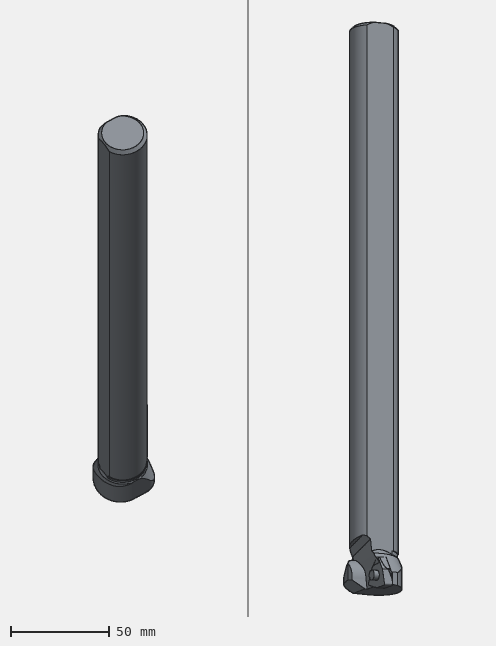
import cadquery as cq
import math

total_length = 301.2
shank_radius = 12.5
side_flat_offset = 10.2
front_flat_offset = 11.5
end_chamfer = 1.8
shank_bottom = 20.8

neck_radius = 12.0
neck_top_radius = 10.2
head_top = 18.0
cone_top_radius = 12.7
cone_slope = 0.4
head_half_depth = 13.5
head_right = shank_radius
bottom_angle = 5.0
bottom_clearance = 1.0
back_relief_slope = 0.5

tip_x = -17.32
insert_circle_radius = 6.3
insert_thickness = 4.8
nose_radius = 0.8
corner_count = 3
corner_half_angle = 40.0
first_corner_angle = 225.0
radial_rake = 11.0
axial_rake = 6.0
pin_diameter = 5.0
pin_protrusion = 3.0

gully_step = 1.05
gully_step_start = 12.7
gully_step_end = 17.0
gully_bottom = -6.0
gully_runout = 3.0
tool_reach = 60.2

nose_distance = (insert_circle_radius - nose_radius) / math.sin(math.radians(corner_half_angle))
insert_height = nose_distance * math.sin(math.radians(45)) + nose_radius
insert_x = tip_x + insert_height


def tilt(shape):
    """Turn a shape from the upright frame, with the insert face on Y = 0, to the insert's rake."""
    tip = (tip_x, 0, 0)
    shape = shape.rotate(tip, (tip_x + 3, 0, 0), -axial_rake)
    return shape.rotate(tip, (tip_x, 0, 1), radial_rake)


def make_shank():
    shank = cq.Workplane("XY").workplane(offset=shank_bottom).circle(shank_radius)
    shank = shank.extrude(total_length - shank_bottom).faces(">Z").chamfer(end_chamfer)
    neck = cq.Workplane("XY").workplane(offset=head_top).circle(neck_radius)
    shank = shank.union(neck.extrude(shank_bottom - head_top))
    flats = cq.Workplane("XY").box(tool_reach, tool_reach, total_length, centered=False)
    return shank.intersect(flats.translate((-side_flat_offset, -front_flat_offset, 0)))


def make_head():
    """Head outline trimmed by a cone that widens downwards and by a sloping end face."""
    outline = (
        cq.Workplane("XY")
        .moveTo(-16.0, 2.0)
        .lineTo(-16.3, -4.5)
        .lineTo(-14.8, -7.8)
        .threePointArc((-10.0, -11.5), (-1.2, -head_half_depth))
        .threePointArc((4.0, -12.8), (8.0, -10.5))
        .threePointArc((11.0, -7.0), (head_right, -2.5))
        .lineTo(head_right, 7.5)
        .threePointArc((11.5, 11.5), (8.5, head_half_depth))
        .lineTo(1.5, head_half_depth)
        .lineTo(-10.2, 8.5)
        .close()
        .extrude(shank_bottom)
    )
    cone = (
        cq.Workplane("XZ")
        .lineTo(cone_top_radius + cone_slope * head_top, 0)
        .lineTo(cone_top_radius, head_top)
        .lineTo(neck_top_radius, shank_bottom)
        .lineTo(0, shank_bottom)
        .close()
        .revolve(360, (0, 0), (0, 1))
    )
    rise = tool_reach * math.tan(math.radians(bottom_angle))
    below_end_face = (
        cq.Workplane("XZ")
        .polyline([
            (tip_x, -tool_reach),
            (tip_x, bottom_clearance),
            (tip_x + tool_reach, bottom_clearance + rise),
            (tip_x + tool_reach, -tool_reach),
        ])
        .close()
        .extrude(tool_reach, both=True)
    )
    back_relief = (
        cq.Workplane("YZ")
        .polyline([(0, 0), (tool_reach, 0), (tool_reach, back_relief_slope * tool_reach)])
        .close()
        .extrude(tool_reach, both=True)
    )
    return outline.intersect(cone).cut(below_end_face).cut(back_relief)


def make_insert_blank():
    """Three-cornered insert whose sides each bend slightly outwards at the middle."""
    half_pitch = 180 / corner_count
    corner_distance = insert_circle_radius / math.sin(math.radians(corner_half_angle))
    bend_distance = insert_circle_radius / math.sin(math.radians(180 - half_pitch - corner_half_angle))
    points = []
    for corner in range(corner_count):
        corner_angle = math.radians(first_corner_angle + 2 * half_pitch * corner)
        bend_angle = corner_angle + math.radians(half_pitch)
        for distance, angle in ((corner_distance, corner_angle), (bend_distance, bend_angle)):
            points.append((distance * math.cos(angle), distance * math.sin(angle)))
    blank = cq.Workplane("XZ").polyline(points).close().extrude(insert_thickness)
    sharp_distance = (corner_distance + bend_distance) / 2
    sharp_edges = blank.edges("|Y").filter(
        lambda edge: math.hypot(edge.Center().x, edge.Center().z) > sharp_distance
    )
    blank = blank.newObject(sharp_edges.vals()).fillet(nose_radius)
    return tilt(blank.translate((insert_x, 0, insert_height)))


def make_pin():
    """Clamping pin of the bar, through the insert and standing proud of its face."""
    pin = cq.Workplane("XZ").circle(pin_diameter / 2).extrude(insert_thickness + pin_protrusion)
    return tilt(pin.translate((insert_x, pin_protrusion, insert_height)))


def make_chip_gully():
    """Space over the insert that steps up towards the shank and runs out across its back."""
    boundary = (
        cq.Workplane("XZ")
        .moveTo(-36, gully_bottom)
        .lineTo(-36, 35.2)
        .lineTo(19.5, 23.0)
        .lineTo(19.5, 20.0)
        .lineTo(9, 20.0)
        .threePointArc((2.5, 15.0), (0.5, 7.5))
        .lineTo(0.5, gully_bottom)
        .close()
        .extrude(-tool_reach)
    )
    above_floor = (
        cq.Workplane("YZ")
        .polyline([
            (0, gully_bottom),
            (0, gully_step_start),
            (gully_step, gully_step_end),
            (gully_step, tool_reach),
            (tool_reach, tool_reach),
            (tool_reach, gully_bottom),
        ])
        .close()
        .extrude(tool_reach, both=True)
    )
    gully = boundary.intersect(above_floor)
    upper_floor_edge = cq.selectors.NearestToPointSelector((-8.0, gully_step, 29.0))
    return tilt(gully.edges(upper_floor_edge).chamfer(gully_runout))


insert_blank = make_insert_blank()
pin = make_pin()
bar = make_shank().union(make_head()).cut(make_chip_gully()).cut(insert_blank).union(pin)
insert = insert_blank.cut(pin)

result = cq.Compound.makeCompound([*bar.vals(), *insert.vals()])